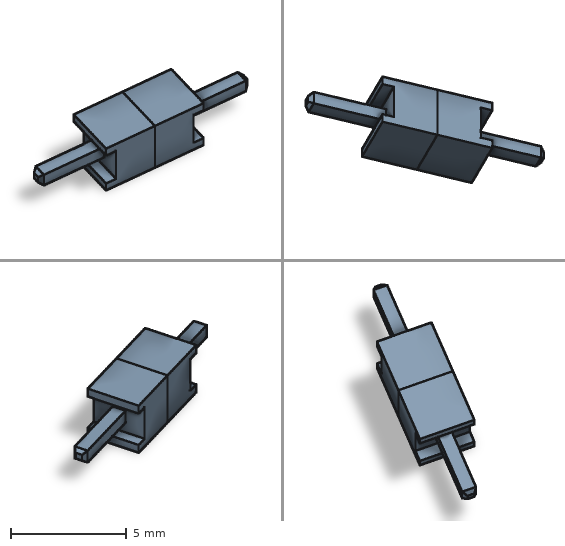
import cadquery as cq

pin_length = 10.92
pin_width = 0.64
block_side = 2.54

tip_length = 0.2
tip_width = 0.32

joint_y = -0.11

lip_thickness = 0.43
recess_depth = 0.52
recess_height = block_side - 2 * lip_thickness


def make_tip(direction):
    """Tapered end of the pin, pointing along +Y (1) or -Y (-1)."""
    base_y = direction * (pin_length / 2 - tip_length)
    return (
        cq.Workplane(cq.Plane((0, base_y, 0), xDir=(1, 0, 0), normal=(0, direction, 0)))
        .rect(pin_width, pin_width)
        .workplane(offset=tip_length)
        .rect(tip_width, tip_width)
        .loft(ruled=True)
    )


def make_pin():
    """Square pin along Y with a tapered tip at each end."""
    shaft = cq.Workplane("XY").box(pin_width, pin_length - 2 * tip_length, pin_width)
    return shaft.union(make_tip(1)).union(make_tip(-1))


def make_block(direction):
    """Insulator block on one side of the joint, recessed at its outer end."""
    center_y = joint_y + direction * block_side / 2
    recess_y = joint_y + direction * (block_side - recess_depth / 2)
    block = cq.Workplane("XY").box(block_side, block_side, block_side).translate((0, center_y, 0))
    recess = cq.Workplane("XY").box(block_side, recess_depth, recess_height).translate((0, recess_y, 0))
    pin_hole = cq.Workplane("XY").box(pin_width, pin_length, pin_width)
    return block.cut(recess).cut(pin_hole)


pin = make_pin()
blocks = [make_block(direction) for direction in (1, -1)]

result = cq.Compound.makeCompound([pin.val(), *[block.val() for block in blocks]])